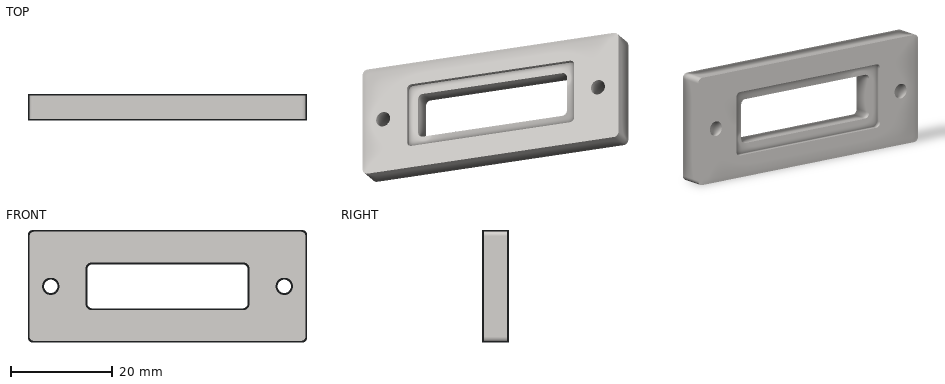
import cadquery as cq

plate_length = 55.0
plate_thickness = 5.0
plate_height = 22.0
corner_radius = 1.0

window_length = 32.0
window_height = 9.0
window_corner_radius = 1.0

recess_depth = 1.0
recess_margin = 2.0
recess_length = window_length + 2 * recess_margin
recess_height = window_height + 2 * recess_margin

hole_diameter = 3.0
hole_spacing = 46.2


def rounded_block(length, thickness, height, radius):
    """Block centred on the origin, with its edges along Y rounded."""
    return cq.Workplane("XY").box(length, thickness, height).edges("|Y").fillet(radius)


def window_recess():
    """Block that cuts the recess into the back face."""
    recess = rounded_block(recess_length, recess_depth, recess_height, window_corner_radius)
    return recess.translate((0, (plate_thickness - recess_depth) / 2, 0))


def mounting_holes():
    """Pair of cylinders along Y that cut the mounting holes."""
    half_spacing = hole_spacing / 2
    return (
        cq.Workplane("XZ")
        .pushPoints([(-half_spacing, 0), (half_spacing, 0)])
        .circle(hole_diameter / 2)
        .extrude(plate_thickness / 2, both=True)
    )


plate = rounded_block(plate_length, plate_thickness, plate_height, corner_radius)
window = rounded_block(window_length, plate_thickness, window_height, window_corner_radius)

result = plate.cut(window).cut(window_recess()).cut(mounting_holes())